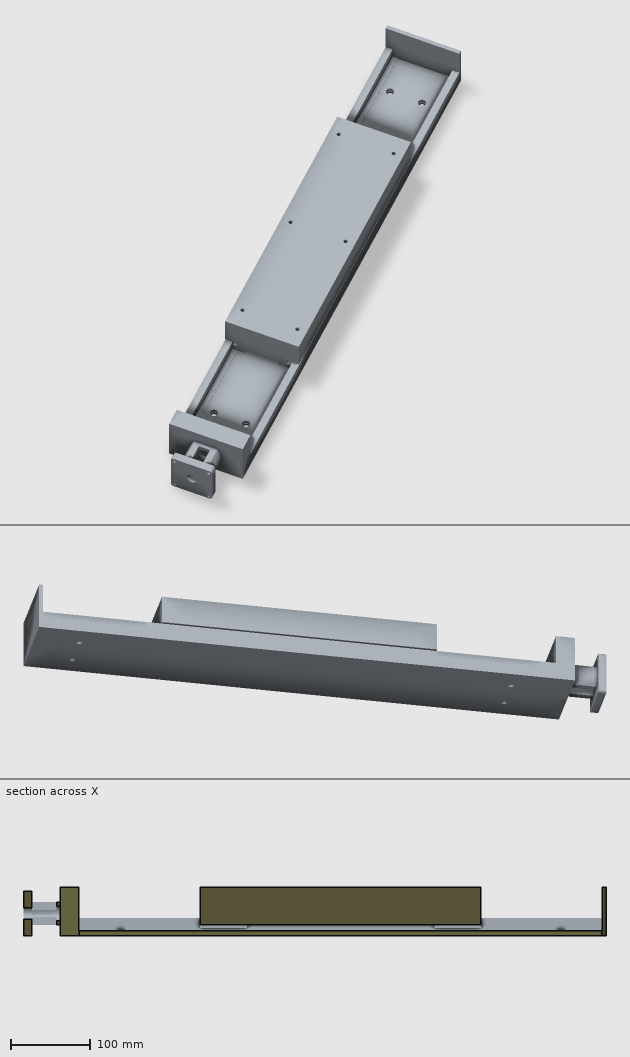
import cadquery as cq
total_length = 737.0
width = 102.0
height = 62.0

end_plate_thickness = 5.0
block_thickness = 24.0
coupling_length = 46.0
base_length = total_length - end_plate_thickness - block_thickness - coupling_length

base_height = 23.0
floor_height = 7.5
ledge_height = 8.0
wall_thickness = 9.5
ledge_width = 7.0
base_hole_diameter = 7.5
counterbore_diameter = 10.0
counterbore_depth = 4.5
base_hole_spacing_x = 44.0
base_hole_spacing_y = 557.0

carriage_length = 355.0
carriage_gap = 2.0
boss_width = 68.5
boss_bottom = 14.0
carriage_hole_diameter = 5.0
carriage_hole_depth = 11.0
carriage_hole_spacing_x = 76.0
carriage_hole_spacing_y = 152.5

pad_length = 59.0
pad_bottom = 10.0
pad_top = 19.0
pad_inner_x = 23.5
pad_outer_x = 40.5

axis_height = 29.0
flange_size = 57.0
flange_thickness = 10.0
flange_corner_radius = 4.0
flange_hole_diameter = 4.5
flange_hole_spacing = 47.0
flange_bore_diameter = 14.0
neck_diameter = 43.0
neck_flat_height = 29.0
neck_bore_diameter = 18.0
window_width = 15.5
window_end_wall = 4.5

base_front = -base_length / 2
base_back = base_length / 2
block_front = base_front - block_thickness
flange_front = block_front - coupling_length
flange_back = flange_front + flange_thickness
neck_length = coupling_length - flange_thickness
channel_width = width - 2 * wall_thickness
ledge_x = (channel_width - ledge_width) / 2
pad_width = pad_outer_x - pad_inner_x
pad_x = (pad_inner_x + pad_outer_x) / 2
pad_y = (carriage_length - pad_length) / 2
sides = (-1, 1)


def box(x_size, y_size, z_bottom, z_top, x=0, y=0):
    """Box centred on (x, y) between two heights."""
    return (
        cq.Workplane("XY", origin=(x, y, z_bottom))
        .rect(x_size, y_size)
        .extrude(z_top - z_bottom)
    )


def upright_pins(diameter, z_bottom, z_top, spacing_x, spacing_y, count_x, count_y):
    """Centred grid of vertical cylinders, used to cut holes."""
    return (
        cq.Workplane("XY", origin=(0, 0, z_bottom))
        .rarray(spacing_x, spacing_y, count_x, count_y)
        .circle(diameter / 2)
        .extrude(z_top - z_bottom)
    )


def make_base():
    body = box(width, base_length, 0, base_height)
    body = body.cut(box(channel_width, base_length, floor_height, base_height))
    for side in sides:
        body = body.union(box(ledge_width, base_length, floor_height, ledge_height, x=side * ledge_x))
    grid = (base_hole_spacing_x, base_hole_spacing_y, 2, 2)
    counterbore_floor = floor_height - counterbore_depth
    body = body.cut(upright_pins(base_hole_diameter, 0, floor_height, *grid))
    return body.cut(upright_pins(counterbore_diameter, counterbore_floor, floor_height, *grid))


def make_pad(side, end):
    return box(pad_width, pad_length, pad_bottom, pad_top, x=side * pad_x, y=end * pad_y)


def make_carriage(pads):
    slab_bottom = base_height + carriage_gap
    body = box(width, carriage_length, slab_bottom, height)
    body = body.union(box(boss_width, carriage_length, boss_bottom, slab_bottom))
    for pad in pads:
        body = body.cut(pad)
    grid = (carriage_hole_spacing_x, carriage_hole_spacing_y, 2, 3)
    return body.cut(upright_pins(carriage_hole_diameter, height - carriage_hole_depth, height, *grid))


def make_coupling():
    front = cq.Workplane("XZ", origin=(0, flange_front, axis_height))
    neck_start = cq.Workplane("XZ", origin=(0, flange_back, axis_height))

    flange = (
        front.rect(flange_size, flange_size)
        .extrude(-flange_thickness)
        .edges("|Y")
        .fillet(flange_corner_radius)
    )
    flange_bore = front.circle(flange_bore_diameter / 2).extrude(-flange_thickness)
    bolt_holes = (
        front.rarray(flange_hole_spacing, flange_hole_spacing, 2, 2)
        .circle(flange_hole_diameter / 2)
        .extrude(-flange_thickness)
    )
    flange = flange.cut(flange_bore).cut(bolt_holes)

    flats = neck_start.rect(neck_diameter, neck_flat_height).extrude(-neck_length)
    neck = neck_start.circle(neck_diameter / 2).extrude(-neck_length).intersect(flats)
    neck_bore = neck_start.circle(neck_bore_diameter / 2).extrude(-neck_length)
    window = neck_start.rect(window_width, neck_flat_height).extrude(window_end_wall - neck_length)
    neck = neck.cut(neck_bore).cut(window)

    return flange.union(neck)


base = make_base()
pads = [make_pad(side, end) for side in sides for end in sides]
carriage = make_carriage(pads)
end_plate = box(width, end_plate_thickness, 0, height, y=base_back + end_plate_thickness / 2)
motor_block = box(width, block_thickness, 0, height, y=base_front - block_thickness / 2)
coupling = make_coupling()

result = cq.Compound.makeCompound([
    base.val(),
    carriage.val(),
    end_plate.val(),
    motor_block.val(),
    coupling.val(),
    *[pad.val() for pad in pads],
])